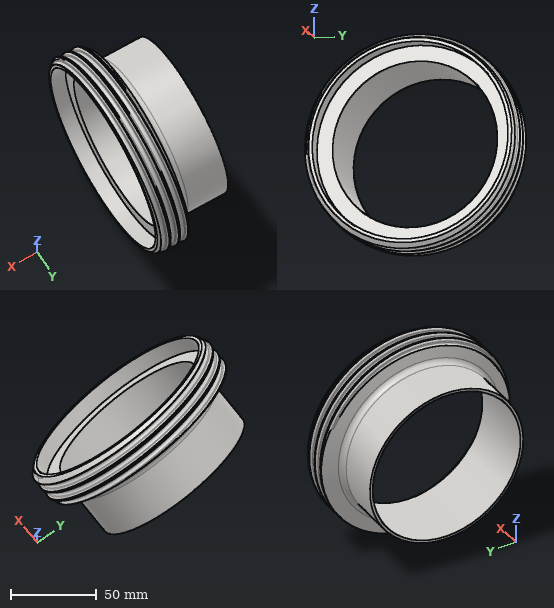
import cadquery as cq
import math


length = 54.0
thread_radius = 65.0
tube_radius = 52.0
bore_radius = 50.0

flare_start = 27.5
flare_radius = 4.0
cone_angle = math.radians(15)

seat_radius = 59.5
seat_depth = 10.0
chamfer_size = 3.2

pitch = 6.4
root_radius = 61.9
flank_angle = math.radians(15)
crest_turn = math.radians(8)
cutter_radius = thread_radius + 1.3
first_root_on_top = 26.9
groove_turns = 5

blank_seam_angle = 200


def make_blank():
    """Revolved tube and collar before threading."""
    def flare_point(turn):
        return (
            flare_start + flare_radius * math.sin(turn),
            tube_radius + flare_radius * (1 - math.cos(turn)),
        )

    full_turn = math.pi / 2 - cone_angle
    cone_start = flare_point(full_turn)
    cone_end_x = cone_start[0] + (thread_radius - cone_start[1]) * math.tan(cone_angle)
    outline = (
        cq.Workplane("XY")
        .moveTo(0, bore_radius)
        .lineTo(0, tube_radius)
        .lineTo(flare_start, tube_radius)
        .threePointArc(flare_point(full_turn / 2), cone_start)
        .lineTo(cone_end_x, thread_radius)
        .lineTo(length - chamfer_size, thread_radius)
        .lineTo(length, thread_radius - chamfer_size)
        .lineTo(length, seat_radius)
        .lineTo(length - seat_depth, seat_radius)
        .lineTo(length - seat_depth, bore_radius)
        .close()
    )
    blank = outline.revolve(360, (0, 0, 0), (1, 0, 0))
    return blank.rotate((0, 0, 0), (1, 0, 0), blank_seam_angle)


def make_groove_cutter():
    """Helical cutter with a round bottom and rounded shoulders, about the X axis."""
    depth = thread_radius - root_radius
    root_half = pitch / 4 - depth / 2 * math.tan(flank_angle)
    flank_turn = math.pi / 2 - flank_angle
    rounding = root_half / math.tan(flank_turn / 2)

    def root_point(turn):
        return (
            root_radius + rounding * (1 - math.cos(turn)),
            rounding * math.sin(turn),
        )

    def crest_point(turn):
        return (
            thread_radius - rounding * (1 - math.cos(turn)),
            pitch / 2 - rounding * math.sin(turn),
        )

    def mirrored(point):
        return (point[0], -point[1])

    flank_bottom = root_point(flank_turn)
    flank_top = crest_point(flank_turn)
    shoulder_middle = crest_point((flank_turn + crest_turn) / 2)
    shoulder_end = crest_point(crest_turn)
    cutter_edge = (cutter_radius, shoulder_end[1])
    profile = (
        cq.Workplane("XZ")
        .moveTo(*mirrored(cutter_edge))
        .lineTo(*mirrored(shoulder_end))
        .threePointArc(mirrored(shoulder_middle), mirrored(flank_top))
        .lineTo(*mirrored(flank_bottom))
        .threePointArc(root_point(0), flank_bottom)
        .lineTo(*flank_top)
        .threePointArc(shoulder_middle, shoulder_end)
        .lineTo(*cutter_edge)
        .close()
    )
    helix = cq.Wire.makeHelix(pitch, pitch * groove_turns, thread_radius)
    cutter = profile.sweep(cq.Workplane(helix), isFrenet=True)
    return (
        cutter
        .rotate((0, 0, 0), (0, 1, 0), 90)
        .rotate((0, 0, 0), (1, 0, 0), 180)
        .translate((first_root_on_top, 0, 0))
    )


result = make_blank().cut(make_groove_cutter())